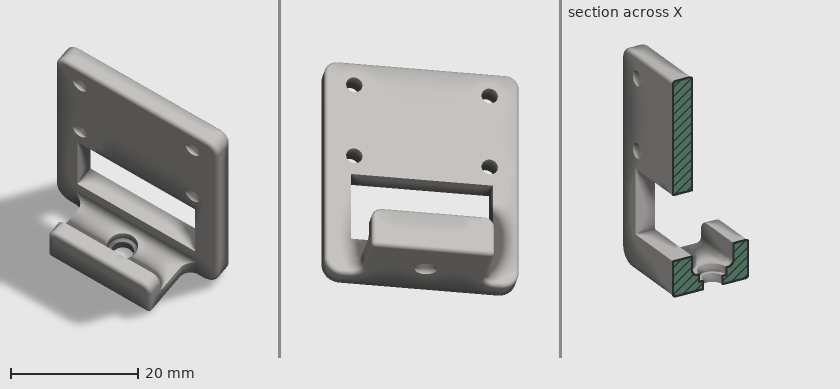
import cadquery as cq

plate_width = 31.0
plate_height = 37.65
plate_thickness = 3.6
top_corner_radius = 2.1
bottom_corner_radius = 2.85
edge_fillet = 0.6

total_depth = 13.9
hook_width = 19.6
hook_height = 6.75
floor_thickness = 2.85
lip_thickness = 2.8
lip_corner_radius = 1.65
flare_radius = 2.0
channel_fillet = 0.9

window_width = 22.6
window_bottom = 6.3
window_top = 17.78
mount_hole_diameter = 2.6
mount_hole_spacing = 21.6
mount_hole_heights = (21.05, 33.65)
screw_hole_diameter = 3.5
counterbore_diameter = 4.9
counterbore_depth = 1.3
screw_setback = 7.35

plate_front = -plate_thickness
lip_front = -total_depth
lip_back = lip_front + lip_thickness
half_hook = hook_width / 2
half_flare = half_hook + flare_radius


def make_plate():
    plate = cq.Workplane("XY").box(
        plate_width, plate_thickness, plate_height, centered=(True, False, False)
    ).translate((0, plate_front, 0))
    plate = plate.edges("|Y and >Z").fillet(top_corner_radius)
    return plate.edges("|Y and <Z").fillet(bottom_corner_radius)


def make_floor():
    """Floor whose sides flare out, tangent to the plate's front face."""
    flare_start = plate_front - flare_radius
    plate_middle = plate_front / 2
    return (
        cq.Workplane("XY")
        .moveTo(-half_flare, plate_middle)
        .lineTo(-half_flare, plate_front)
        .radiusArc((-half_hook, flare_start), flare_radius)
        .lineTo(-half_hook, lip_front)
        .lineTo(half_hook, lip_front)
        .lineTo(half_hook, flare_start)
        .radiusArc((half_flare, plate_front), flare_radius)
        .lineTo(half_flare, plate_middle)
        .close()
        .extrude(floor_thickness + channel_fillet)
    )


def make_channel():
    """Space between plate and lip, with rounded lower corners."""
    length = plate_front - lip_back
    channel = cq.Workplane("XY").box(
        plate_width, length, plate_height, centered=(True, False, False)
    ).translate((0, lip_back, floor_thickness))
    return channel.edges("|X and <Z").fillet(channel_fillet)


def make_lip():
    lip = cq.Workplane("XY").box(
        hook_width, lip_thickness, hook_height, centered=(True, False, False)
    ).translate((0, lip_front, 0))
    return lip.edges("|Y and >Z").fillet(lip_corner_radius)


def round_outer_edges(body):
    """Round both plate rims, the lip's front rim and the hook's lower rim."""
    plate_face = cq.selectors.NearestToPointSelector((0, plate_front, plate_height / 2))
    margin = 0.05
    hook_joint = cq.selectors.BoxSelector(
        (-half_flare - margin, lip_front, margin),
        (half_flare + margin, 0, hook_height),
    )
    front_rim = body.faces(plate_face).edges(-hook_joint)
    end_rims = body.faces(">Y or <Y").edges()
    corner_seams = cq.selectors.BoxSelector(
        (-plate_width, plate_front + margin, -margin),
        (plate_width, -margin, margin),
    )
    lower_rim = body.faces("<Z").edges(-corner_seams)
    return front_rim.add(end_rims).add(lower_rim).fillet(edge_fillet)


def cut_plate_openings(body):
    window = cq.Workplane("XY").box(
        window_width, plate_thickness, window_top - window_bottom, centered=(True, False, False)
    ).translate((0, plate_front, window_bottom))
    body = body.cut(window)
    hole_centers = [
        (side * mount_hole_spacing / 2, height)
        for side in (-1, 1)
        for height in mount_hole_heights
    ]
    holes = (
        cq.Workplane("XZ")
        .pushPoints(hole_centers)
        .circle(mount_hole_diameter / 2)
        .extrude(plate_thickness)
    )
    return body.cut(holes)


def cut_screw_hole(body):
    """Counterbored hole straight down through the hook floor."""
    return (
        body.copyWorkplane(cq.Workplane("XY", origin=(0, -screw_setback, floor_thickness)))
        .cboreHole(screw_hole_diameter, counterbore_diameter, counterbore_depth)
    )


body = make_plate().union(make_floor().cut(make_channel())).union(make_lip())
body = round_outer_edges(body)
body = cut_plate_openings(body)
result = cut_screw_hole(body)